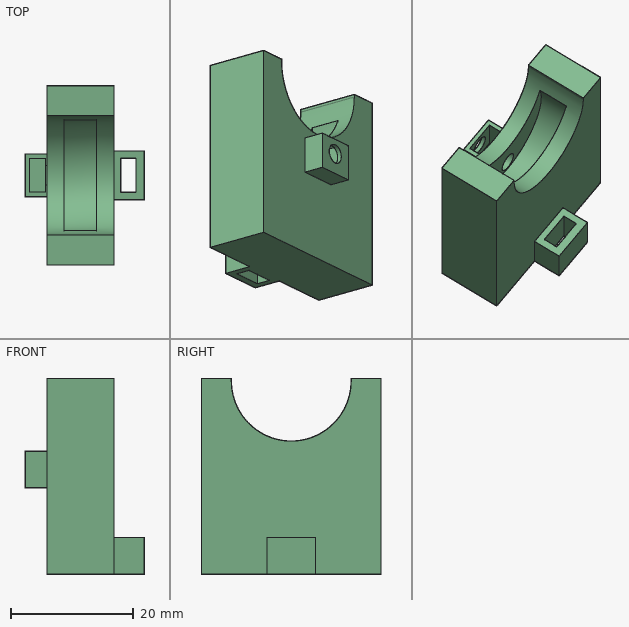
import cadquery as cq

block_thickness = 11.0
block_width = 29.3
block_height = 32.0

saddle_radius = 9.75
saddle_drop = 0.48

pocket_radius = 9.45
pocket_drop = 6.88
pocket_start = 2.8
pocket_thickness = 5.28

socket_height = 6.0

front_socket_depth = 3.55
front_socket_width = 7.0
front_socket_base = 14.1
front_cavity_depth = 2.62
front_cavity_width = 5.5
front_outer_wall = 0.75
front_floor = 0.5
wire_hole_diameter = 3.2
wire_hole_height = 17.57

rear_socket_depth = 4.93
rear_socket_width = 8.0
rear_slot_offset = 1.1
rear_slot_depth = 2.45
rear_slot_width = 5.5


def box_from(x_start, z_start, depth, width, height):
    """Box centred on Y that grows along +X and +Z from its start."""
    box = cq.Workplane("XY").box(depth, width, height, centered=(False, True, False))
    return box.translate((x_start, 0, z_start))


def disc_along_x(x_start, z_centre, radius, length):
    """Cylinder along +X, centred on Y."""
    return cq.Workplane("YZ", origin=(x_start, 0, z_centre)).circle(radius).extrude(length)


saddle_centre = block_height - saddle_drop
block = box_from(0, 0, block_thickness, block_width, block_height)
block = block.cut(disc_along_x(0, saddle_centre, saddle_radius, block_thickness))
block = block.cut(box_from(0, saddle_centre, block_thickness, 2 * saddle_radius, saddle_drop))

pocket_centre = block_height - pocket_drop
pocket = disc_along_x(pocket_start, pocket_centre, pocket_radius, pocket_thickness)
block = block.cut(pocket)

front_socket = box_from(
    -front_socket_depth, front_socket_base, front_socket_depth, front_socket_width, socket_height
)
front_cavity = box_from(
    front_outer_wall - front_socket_depth,
    front_socket_base + front_floor,
    front_cavity_depth,
    front_cavity_width,
    socket_height - front_floor,
)
front_socket = front_socket.cut(front_cavity)

rear_socket = box_from(block_thickness, 0, rear_socket_depth, rear_socket_width, socket_height)
rear_slot = box_from(
    block_thickness + rear_slot_offset, 0, rear_slot_depth, rear_slot_width, socket_height
)
rear_socket = rear_socket.cut(rear_slot)

wire_hole = disc_along_x(
    -front_socket_depth,
    wire_hole_height,
    wire_hole_diameter / 2,
    front_socket_depth + pocket_start + pocket_thickness / 2,
)

result = block.union(front_socket).union(rear_socket).cut(wire_hole)